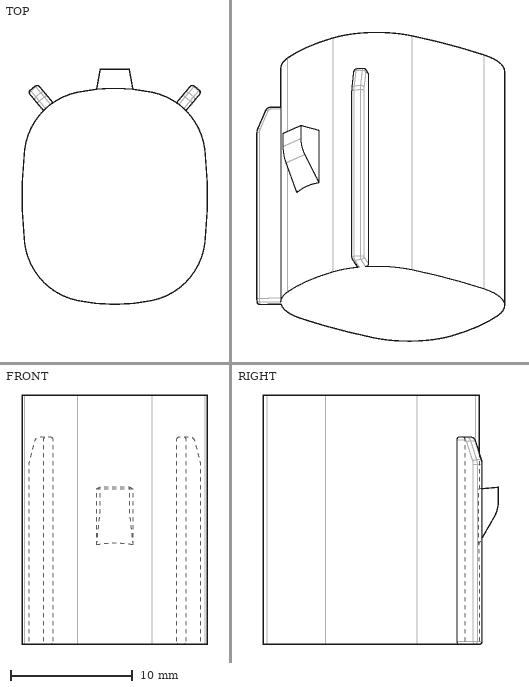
import cadquery as cq
import math

height = 20.5
width = 15.27
depth = 17.8
side_radius = 35.0
end_radius = 15.0
corner_radius = 5.54

tab_reach = 1.58
tab_tip_width = 2.4
tab_root_width = 2.97
tab_tip_top = 12.94
tab_top_slope = 5.0
tab_tip_bottom = 11.07
tab_bottom_slope = 60.0
tab_blend_radius = 2.66

rib_angle = 50.0
rib_reach = 1.97
rib_thickness = 1.02
rib_height = 17.05
rib_slope_run = 0.85
rib_slope_rise = 2.05
rib_shoulder_radius = 0.5
rib_tip_radius = 1.02
rib_edge_radius = 0.25

overlap = 0.82

half_width = width / 2
half_depth = depth / 2


def corner_center():
    """Centre of the +X +Y corner arc, tangent to the side arc and the end arc inside both."""
    side_x = half_width - side_radius
    end_y = half_depth - end_radius
    to_side = side_radius - corner_radius
    to_end = end_radius - corner_radius
    span = math.hypot(side_x, end_y)
    along = (to_side**2 - to_end**2 + span**2) / (2 * span)
    off = math.sqrt(to_side**2 - along**2)
    unit_x = -side_x / span
    unit_y = end_y / span
    return side_x + unit_x * along - unit_y * off, unit_y * along + unit_x * off


corner_x, corner_y = corner_center()


def edge_at(x, y, z):
    """Selects the edge whose middle lies nearest to a point."""
    return cq.selectors.NearestToPointSelector((x, y, z))


def make_body():
    side_angle = math.atan2(corner_y, corner_x - (half_width - side_radius))
    end_angle = math.atan2(corner_y - (half_depth - end_radius), corner_x)
    middle_angle = (side_angle + end_angle) / 2

    def on_corner(angle):
        return corner_x + corner_radius * math.cos(angle), corner_y + corner_radius * math.sin(angle)

    side_x, side_y = on_corner(side_angle)
    mid_x, mid_y = on_corner(middle_angle)
    end_x, end_y = on_corner(end_angle)
    outline = (
        cq.Workplane("XY")
        .moveTo(side_x, -side_y)
        .threePointArc((half_width, 0), (side_x, side_y))
        .threePointArc((mid_x, mid_y), (end_x, end_y))
        .threePointArc((0, half_depth), (-end_x, end_y))
        .threePointArc((-mid_x, mid_y), (-side_x, side_y))
        .threePointArc((-half_width, 0), (-side_x, -side_y))
        .threePointArc((-mid_x, -mid_y), (-end_x, -end_y))
        .threePointArc((0, -half_depth), (end_x, -end_y))
        .threePointArc((mid_x, -mid_y), (side_x, -side_y))
        .close()
    )
    return outline.extrude(height)


def make_tab():
    tip_y = half_depth + tab_reach
    inner_y = half_depth - overlap
    length = tip_y - inner_y
    half_tip = tab_tip_width / 2
    half_inner = half_tip + (tab_root_width - tab_tip_width) / 2 * length / tab_reach
    inner_top = tab_tip_top - length * math.tan(math.radians(tab_top_slope))
    inner_bottom = tab_tip_bottom - length * math.tan(math.radians(tab_bottom_slope))

    side_profile = [
        (tip_y, tab_tip_top),
        (tip_y, tab_tip_bottom),
        (inner_y, inner_bottom),
        (inner_y, inner_top),
    ]
    plan = [(half_tip, tip_y), (half_inner, inner_y), (-half_inner, inner_y), (-half_tip, tip_y)]
    wedge = cq.Workplane("YZ").polyline(side_profile).close().extrude(half_inner, both=True)
    wedge = wedge.edges(edge_at(0, tip_y, tab_tip_bottom)).fillet(tab_blend_radius)
    tapered_column = cq.Workplane("XY").polyline(plan).close().extrude(height)
    return wedge.intersect(tapered_column)


def make_rib():
    """The rib in the +X +Y corner, shaped along X and then turned about the corner centre."""
    tip = corner_radius + rib_reach
    inner = corner_radius - overlap
    shoulder = tip - rib_slope_run
    slope_foot = rib_height - rib_slope_rise
    profile = [(inner, 0), (tip, 0), (tip, slope_foot), (shoulder, rib_height), (inner, rib_height)]
    rib = cq.Workplane("XZ").polyline(profile).close().extrude(rib_thickness / 2, both=True)
    rib = rib.edges(edge_at(shoulder, 0, rib_height)).fillet(rib_shoulder_radius)
    rib = rib.edges(edge_at(tip, 0, slope_foot)).fillet(rib_tip_radius)
    rib = rib.edges(edge_at(tip, 0, 0)).fillet(rib_edge_radius)
    rib = rib.faces("<Y or >Y").edges("not <X").fillet(rib_edge_radius)
    return rib.rotate((0, 0, 0), (0, 0, 1), rib_angle).translate((corner_x, corner_y, 0))


right_rib = make_rib()
left_rib = right_rib.mirror("YZ")
result = make_body().union(make_tab()).union(right_rib).union(left_rib)